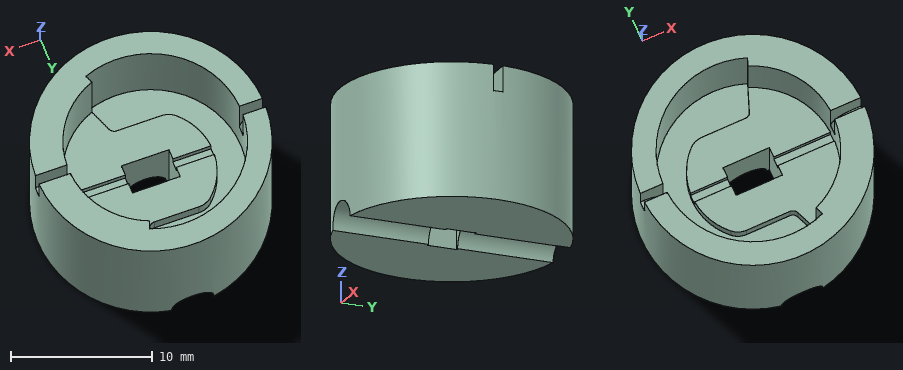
import cadquery as cq
import math

outer_radius = 8.6
height = 10.2

wide_radius = 6.85
narrow_radius = 6.23
step_angle = 68.5
floor_depth = 6.0
plateau_depth = 5.0

plateau_radius = 4.7
plateau_half_width = 3.8
plateau_blend = 1.5
plateau_inner_fillet = 0.5

slot_width = 0.7
slot_depth = 2.0
slot_rounding = 1.5
groove_depth = 0.5

window_length = 3.6
window_width = 2.24
notch_radius = 1.6

floor_z = height - floor_depth
plateau_z = height - plateau_depth
slot_z = height - slot_depth


def cylinder(radius, bottom, top):
    return cq.Workplane("XY").workplane(offset=bottom).circle(radius).extrude(top - bottom)


def make_sector():
    """Triangular block spanning the +X side between the two step lines."""
    reach = 2 * outer_radius
    half_spread = reach * math.tan(math.radians(step_angle))
    outline = [(0, 0), (reach, half_spread), (reach, -half_spread)]
    return cq.Workplane("XY").polyline(outline).close().extrude(height)


def make_plateau(sector):
    """Round-ended strip on the -X side that opens into the +X sector."""
    corner_x = math.sqrt(plateau_radius**2 - plateau_half_width**2)
    step_x = plateau_half_width / math.tan(math.radians(step_angle))
    plateau_height = plateau_z - floor_z
    strip = (
        cq.Workplane("XY")
        .workplane(offset=floor_z)
        .moveTo(0, -plateau_half_width)
        .lineTo(0, plateau_half_width)
        .lineTo(-corner_x, plateau_half_width)
        .threePointArc((-plateau_radius, 0), (-corner_x, -plateau_half_width))
        .close()
        .extrude(plateau_height)
        .edges("|Z")
        .edges("<X")
        .fillet(plateau_blend)
    )
    middle = (
        cq.Workplane("XY")
        .workplane(offset=floor_z)
        .rect(2 * step_x, 2 * plateau_half_width)
        .extrude(plateau_height)
    )
    fan = cylinder(wide_radius, floor_z, plateau_z).intersect(sector)
    margin = 0.17
    step_corners = cq.selectors.BoxSelector(
        (step_x - margin, -plateau_half_width - margin, floor_z),
        (step_x + margin, plateau_half_width + margin, plateau_z),
    )
    plateau = strip.union(middle).union(fan).clean()
    return plateau.edges("|Z").edges(step_corners).fillet(plateau_inner_fillet)


def make_slot_cutter(direction, bore_radius):
    """Slot through one side of the rim; its floor curves down into the bore."""
    inner_x = direction * bore_radius
    curve_x = direction * (bore_radius + slot_rounding)
    arc_offset = slot_rounding * math.sqrt(0.5)
    arc_middle = (curve_x - direction * arc_offset, slot_z - slot_rounding + arc_offset)
    return (
        cq.Workplane("XZ")
        .moveTo(0, height)
        .lineTo(direction * outer_radius, height)
        .lineTo(direction * outer_radius, slot_z)
        .lineTo(curve_x, slot_z)
        .threePointArc(arc_middle, (inner_x, slot_z - slot_rounding))
        .lineTo(0, slot_z - slot_rounding)
        .close()
        .extrude(slot_width / 2, both=True)
    )


sector = make_sector()
narrow_bore = cylinder(narrow_radius, floor_z, height)
wide_bore = cylinder(wide_radius, floor_z, height).cut(sector)
cavity = narrow_bore.union(wide_bore).cut(make_plateau(sector))

groove = (
    cq.Workplane("XY")
    .workplane(offset=plateau_z - groove_depth)
    .rect(2 * narrow_radius, slot_width)
    .extrude(groove_depth)
    .intersect(narrow_bore)
)
window = cq.Workplane("XY").rect(window_length, window_width).extrude(height)
notch = cq.Workplane("XZ").circle(notch_radius).extrude(outer_radius, both=True)

result = cylinder(outer_radius, 0, height).cut(cavity)
for direction, bore_radius in ((1, narrow_radius), (-1, wide_radius)):
    result = result.cut(make_slot_cutter(direction, bore_radius))
result = result.cut(groove).cut(window).cut(notch)